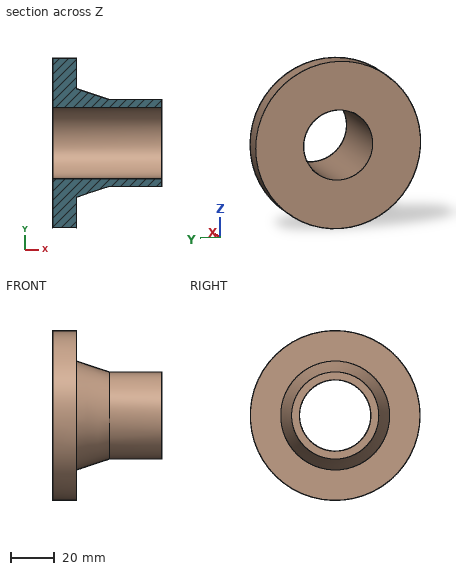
import cadquery as cq

overall_length = 50.0
flange_diameter = 78.0
flange_thickness = 11.0
hub_diameter = 50.0
neck_length = 15.0
tube_diameter = 40.0
bore_diameter = 32.6

neck_start = flange_thickness
neck_end = neck_start + neck_length
tube_length = overall_length - neck_end


def cross_section(x):
    """Workplane square to the part axis at station x, facing +X."""
    return cq.Workplane("YZ", origin=(x, 0, 0))


def make_cylinder(x, diameter, length):
    """Solid cylinder on the part axis, running from station x toward +X."""
    return cross_section(x).circle(diameter / 2).extrude(length)


def make_neck():
    """Straight taper from the hub diameter down to the tube diameter."""
    return (
        cross_section(neck_start)
        .circle(hub_diameter / 2)
        .workplane(offset=neck_length)
        .circle(tube_diameter / 2)
        .loft()
    )


def make_welding_neck_flange():
    """Join the flange, neck and tube, then bore through the full length."""
    flange = make_cylinder(0, flange_diameter, flange_thickness)
    tube = make_cylinder(neck_end, tube_diameter, tube_length)
    bore = make_cylinder(0, bore_diameter, overall_length)
    return flange.union(make_neck()).union(tube).cut(bore)


result = make_welding_neck_flange()